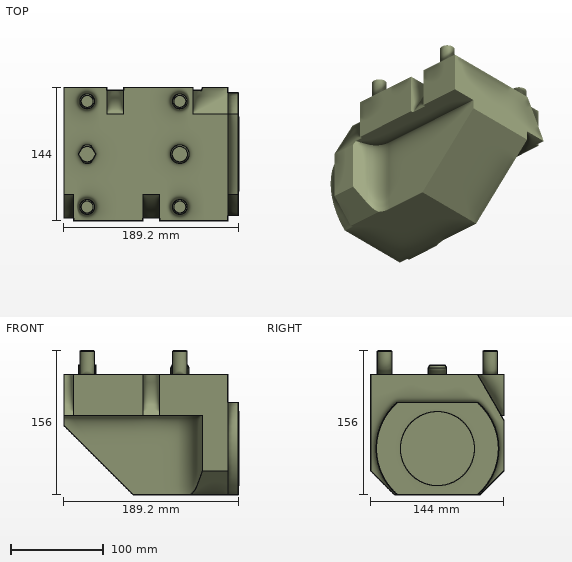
import cadquery as cq
import math


BODY_LENGTH = 177.2
BODY_WIDTH = 144.0
BODY_HEIGHT = 130.0
HALF_WIDTH = BODY_WIDTH / 2
END_HEIGHT = 55.0
BOTTOM_EDGE_CHAMFER = 26.0

WING_THICKNESS = 44.5
CORE_HALF_WIDTH = 42.6
CURVE_START_X = 125.0
CURVE_RADIUS = 20.0
SHOULDER_ANGLE = math.radians(20)

NOTCH_TOP_Y = 43.3
NOTCH_ANGLE = math.radians(30)
FRONT_NOTCHES = [(0.0, 10.5), (85.5, 103.5)]
BACK_NOTCHES = [(46.5, 64.5), (139.5, BODY_LENGTH)]

FLANGE_RADIUS = 66.3
FLANGE_FLAT_HEIGHT = 100.0
FLANGE_THICKNESS = 11.5
FLANGE_CHAMFER = 0.5
FLANGE_CENTRE_Z = FLANGE_FLAT_HEIGHT / 2 - BODY_HEIGHT
PILOT_DIAMETER = 80.0
PILOT_HEIGHT = 0.5

FIRST_PIN_X = 25.25
PIN_SPACING_X = 100.0
PIN_SPACING_Y = 114.0
STUD_DIAMETER = 16.0
STUD_HEIGHT = 26.0
STUD_CHAMFER_HEIGHT = 1.0
STUD_CHAMFER_WIDTH = 1.5
LOCATOR_DIAMETER = 20.0
LOCATOR_HEIGHT = 10.2
LOCATOR_CHAMFER_HEIGHT = 3.0
LOCATOR_CHAMFER_WIDTH = LOCATOR_CHAMFER_HEIGHT * math.tan(math.radians(30))
DIAMOND_HALF_WIDTH = 9.4
DIAMOND_ANGLE = math.radians(30)


def make_block():
    side = (
        cq.Workplane("XZ")
        .polyline([
            (0, 0),
            (BODY_LENGTH, 0),
            (BODY_LENGTH, -BODY_HEIGHT),
            (BODY_HEIGHT - END_HEIGHT, -BODY_HEIGHT),
            (0, -END_HEIGHT),
        ])
        .close()
        .extrude(HALF_WIDTH, both=True)
    )
    bottom_half_width = HALF_WIDTH - BOTTOM_EDGE_CHAMFER
    chamfer_start_z = BOTTOM_EDGE_CHAMFER - BODY_HEIGHT
    section = (
        cq.Workplane("YZ")
        .polyline([
            (-HALF_WIDTH, 0),
            (HALF_WIDTH, 0),
            (HALF_WIDTH, chamfer_start_z),
            (bottom_half_width, -BODY_HEIGHT),
            (-bottom_half_width, -BODY_HEIGHT),
            (-HALF_WIDTH, chamfer_start_z),
        ])
        .close()
        .extrude(BODY_LENGTH)
    )
    return side.intersect(section)


def make_back_clearance():
    """Space below the +Y wing: straight side, concave curve, leaning shoulder."""
    turn = math.pi / 2 - SHOULDER_ANGLE

    def curve_point(angle):
        return (
            CURVE_START_X + CURVE_RADIUS * math.sin(angle),
            CORE_HALF_WIDTH + CURVE_RADIUS * (1 - math.cos(angle)),
        )

    curve_end_x, curve_end_y = curve_point(turn)
    shoulder_x = curve_end_x + (HALF_WIDTH - curve_end_y) * math.tan(SHOULDER_ANGLE)
    return (
        cq.Workplane("XY", origin=(0, 0, -WING_THICKNESS))
        .moveTo(0, CORE_HALF_WIDTH)
        .lineTo(CURVE_START_X, CORE_HALF_WIDTH)
        .threePointArc(curve_point(turn / 2), (curve_end_x, curve_end_y))
        .lineTo(shoulder_x, HALF_WIDTH)
        .lineTo(0, HALF_WIDTH)
        .close()
        .extrude(WING_THICKNESS - BODY_HEIGHT)
    )


def make_notch(start_x, end_x, side):
    """Wedge with an inclined floor; side is +1 for the +Y wing and -1 for the -Y wing."""
    depth = (HALF_WIDTH - NOTCH_TOP_Y) / math.tan(NOTCH_ANGLE)
    return (
        cq.Workplane("YZ", origin=(start_x, 0, 0))
        .polyline([(side * NOTCH_TOP_Y, 0), (side * HALF_WIDTH, 0), (side * HALF_WIDTH, -depth)])
        .close()
        .extrude(end_x - start_x)
    )


def make_flange():
    centre = (BODY_LENGTH, 0, FLANGE_CENTRE_Z)
    flats = cq.Workplane("YZ", origin=centre).rect(2 * FLANGE_RADIUS, FLANGE_FLAT_HEIGHT)
    flange = (
        cq.Workplane("YZ", origin=centre)
        .circle(FLANGE_RADIUS)
        .extrude(FLANGE_THICKNESS)
        .intersect(flats.extrude(FLANGE_THICKNESS))
        .faces(">X")
        .chamfer(FLANGE_CHAMFER)
    )
    pilot = (
        cq.Workplane("YZ", origin=centre)
        .circle(PILOT_DIAMETER / 2)
        .extrude(FLANGE_THICKNESS + PILOT_HEIGHT)
    )
    return flange.union(pilot)


def make_pin(x, y, diameter, height, chamfer_height, chamfer_width):
    """Round pin standing on the top face, with a conical tip."""
    radius = diameter / 2
    profile = (
        cq.Workplane("XZ", origin=(x, y, 0))
        .polyline([
            (0, 0),
            (radius, 0),
            (radius, height - chamfer_height),
            (radius - chamfer_width, height),
            (0, height),
        ])
        .close()
    )
    return profile.revolve(360, (0, 0), (0, 1))


def make_stud(x, y):
    return make_pin(x, y, STUD_DIAMETER, STUD_HEIGHT, STUD_CHAMFER_HEIGHT, STUD_CHAMFER_WIDTH)


def make_round_locator(x):
    return make_pin(
        x, 0, LOCATOR_DIAMETER, LOCATOR_HEIGHT, LOCATOR_CHAMFER_HEIGHT, LOCATOR_CHAMFER_WIDTH
    )


def make_diamond_locator(x):
    """Diamond pin, chamfered only along its two round ends and not at its sharp X corners."""
    half_length = DIAMOND_HALF_WIDTH / math.tan(DIAMOND_ANGLE)
    diamond = (
        cq.Workplane("XY", origin=(x, 0, 0))
        .polyline([
            (DIAMOND_HALF_WIDTH, 0),
            (0, half_length),
            (-DIAMOND_HALF_WIDTH, 0),
            (0, -half_length),
        ])
        .close()
        .extrude(LOCATOR_HEIGHT)
    )
    corner_half_length = DIAMOND_HALF_WIDTH * math.cos(DIAMOND_ANGLE) * math.sin(DIAMOND_ANGLE)
    sharp_corners = (
        cq.Workplane("XY", origin=(x, 0, 0))
        .rect(2 * DIAMOND_HALF_WIDTH, 2 * corner_half_length)
        .extrude(LOCATOR_HEIGHT)
        .intersect(diamond)
    )
    return make_round_locator(x).intersect(diamond).union(sharp_corners)


back_clearance = make_back_clearance()
body = make_block().cut(back_clearance).cut(back_clearance.mirror("XZ"))

for notch_start, notch_end in FRONT_NOTCHES:
    body = body.cut(make_notch(notch_start, notch_end, -1))
for notch_start, notch_end in BACK_NOTCHES:
    body = body.cut(make_notch(notch_start, notch_end, 1))

body = body.union(make_flange())

second_pin_x = FIRST_PIN_X + PIN_SPACING_X
for stud_x in (FIRST_PIN_X, second_pin_x):
    for stud_y in (-PIN_SPACING_Y / 2, PIN_SPACING_Y / 2):
        body = body.union(make_stud(stud_x, stud_y))

body = body.union(make_diamond_locator(FIRST_PIN_X))
body = body.union(make_round_locator(second_pin_x))

result = body